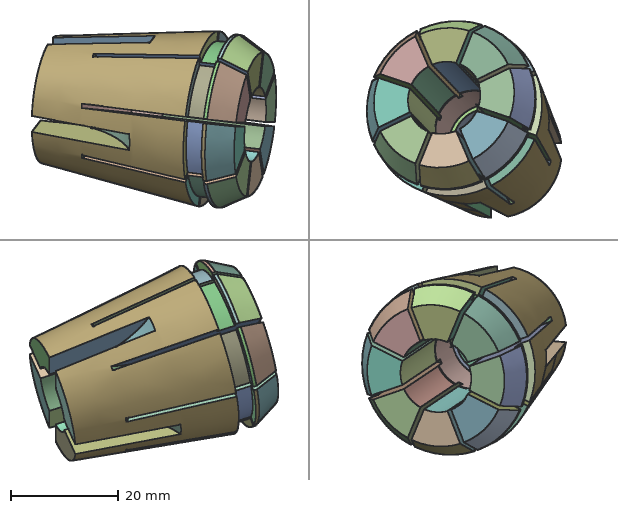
import cadquery as cq
import math

length = 40.0
small_end_radius = 12.05
shoulder_x = 30.95
shoulder_diameter = 33.0
shoulder_radius = shoulder_diameter / 2
groove_radius = 14.65
flange_x = 34.45
rim_end_x = 35.1
rim_radius = 16.3
nose_radius = 13.55

small_bore_radius = 6.4
relief_start_x = 10.0
relief_radius = 7.15
shank_bore_radius = 7.0

saw_radius = 18.0
saw_axis_height = 23.85
wide_slot_count = 4
wide_slot_width = 3.25
wide_slot_end_x = 20.0
slit_count = 8
slit_width = 0.8
slit_start_x = 9.9

relief_end_x = wide_slot_end_x


def make_body():
    """Tapered body, retaining groove and nose flange, with the stepped bore."""
    profile = [
        (0, small_bore_radius),
        (0, small_end_radius),
        (shoulder_x, shoulder_radius),
        (shoulder_x, groove_radius),
        (flange_x, groove_radius),
        (flange_x, rim_radius),
        (rim_end_x, rim_radius),
        (length, nose_radius),
        (length, shank_bore_radius),
        (relief_end_x, shank_bore_radius),
        (relief_end_x, relief_radius),
        (relief_start_x, relief_radius),
        (relief_start_x, small_bore_radius),
    ]
    return cq.Workplane("XY").polyline(profile).close().revolve(360, (0, 0), (1, 0))


def taper_radius(x):
    """Outer radius of the tapered body at position x."""
    return small_end_radius + (shoulder_radius - small_end_radius) * x / shoulder_x


def saw_offset(x):
    """Distance along X from the saw axis to where its rim meets the taper at x."""
    return math.sqrt(saw_radius**2 - (saw_axis_height - taper_radius(x)) ** 2)


def make_saw_cut(width, saw_x, exit_x):
    """Volume swept by the saw, on the +Z side, from saw_x out past exit_x."""
    blade = (
        cq.Workplane("XZ")
        .center(saw_x, saw_axis_height)
        .circle(saw_radius)
        .extrude(width / 2, both=True)
    )
    run = (
        cq.Workplane("XZ")
        .center((saw_x + exit_x) / 2, saw_axis_height)
        .rect(abs(exit_x - saw_x), 2 * saw_radius)
        .extrude(width / 2, both=True)
    )
    return blade.union(run)


def cut_around(body, cutter, count, first_angle):
    """Cut equally spaced copies of the cutter around the X axis."""
    for index in range(count):
        angle = first_angle + index * 360 / count
        body = body.cut(cutter.rotate((0, 0, 0), (1, 0, 0), angle))
    return body


wide_slot = make_saw_cut(wide_slot_width, wide_slot_end_x - saw_offset(wide_slot_end_x), 0)
slot_mouth = cq.Workplane("XY").box(
    relief_start_x, wide_slot_width, saw_axis_height, centered=(False, True, False)
)
wide_slot = wide_slot.union(slot_mouth)
slit = make_saw_cut(slit_width, slit_start_x + saw_offset(slit_start_x), length)

result = make_body()
result = cut_around(result, wide_slot, wide_slot_count, 0)
result = cut_around(result, slit, slit_count, 180 / slit_count)